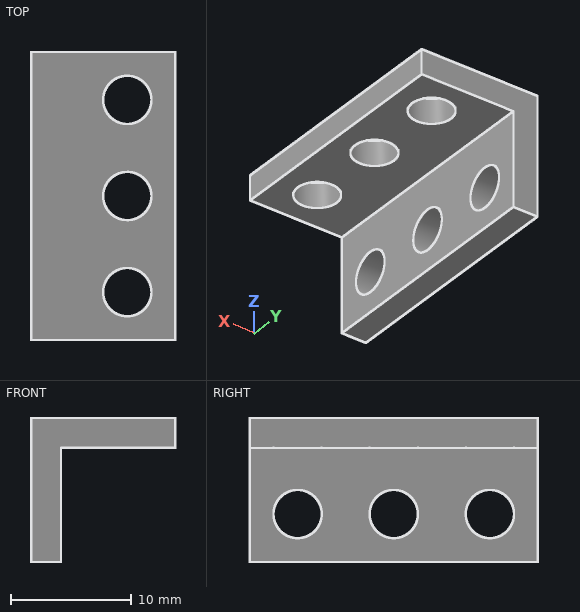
import cadquery as cq

leg_length = 12.0
bracket_length = 24.0
thickness = 2.5
hole_diameter = 4.0
hole_count = 3
hole_from_corner = 8.0

hole_pitch = bracket_length / hole_count
hole_y_positions = [(i + 0.5) * hole_pitch for i in range(hole_count)]


def angle_body():
    """L-section with its outer corner along the Y axis, legs toward +X and -Z."""
    top_leg = cq.Workplane("XY").box(
        leg_length, bracket_length, thickness, centered=False
    ).translate((0, 0, -thickness))
    side_leg = cq.Workplane("XY").box(
        thickness, bracket_length, leg_length, centered=False
    ).translate((0, 0, -leg_length))
    return top_leg.union(side_leg)


def hole_cutter(start, direction):
    """Cylinder that passes through one leg thickness."""
    return cq.Workplane(
        cq.Solid.makeCylinder(hole_diameter / 2, thickness, cq.Vector(*start), cq.Vector(*direction))
    )


result = angle_body()
for y in hole_y_positions:
    result = result.cut(hole_cutter((hole_from_corner, y, 0), (0, 0, -1)))
    result = result.cut(hole_cutter((0, y, -hole_from_corner), (1, 0, 0)))